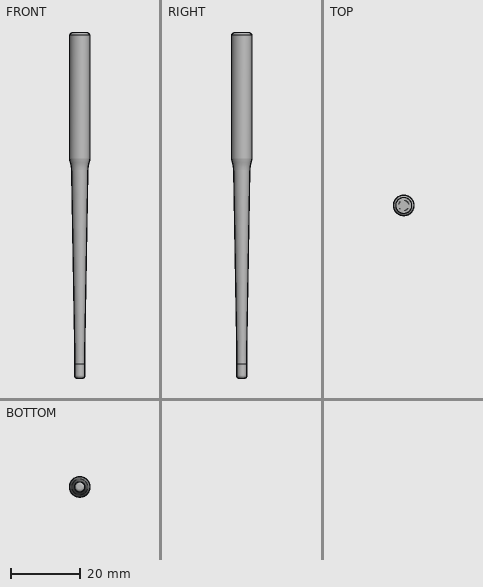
import cadquery as cq
import math

TOTAL_LENGTH = 100.0
CUTTING_LENGTH = 4.2
NECK_BOTTOM = 4.5
CONE_BOTTOM = 6.5
CONE_TOP = 60.2
SHANK_TAPER_BOTTOM = 62.6
SHANK_TAPER_TOP = 63.5

CUTTER_RADIUS = 1.5
CORNER_RADIUS = 0.8
NECK_RADIUS = 1.45
CONE_ANGLE = math.radians(1)
SHANK_RADIUS = 3.0
SHANK_TAPER_BOTTOM_RADIUS = 2.8
TOP_CHAMFER = 0.7

cone_top_radius = NECK_RADIUS + (CONE_TOP - CONE_BOTTOM) * math.tan(CONE_ANGLE)


def make_cutting_head():
    """Cylindrical cutting head with a rounded corner around its flat tip."""
    head = cq.Workplane("XY").circle(CUTTER_RADIUS).extrude(CUTTING_LENGTH)
    return head.faces("<Z").edges().fillet(CORNER_RADIUS)


def make_holder():
    """Neck, long cone, flared transition and chamfered shank, turned about Z."""
    profile = (
        cq.Workplane("XZ")
        .moveTo(0, CUTTING_LENGTH)
        .lineTo(CUTTER_RADIUS, CUTTING_LENGTH)
        .lineTo(NECK_RADIUS, NECK_BOTTOM)
        .lineTo(NECK_RADIUS, CONE_BOTTOM)
        .lineTo(cone_top_radius, CONE_TOP)
        .tangentArcPoint((SHANK_TAPER_BOTTOM_RADIUS, SHANK_TAPER_BOTTOM), relative=False)
        .lineTo(SHANK_RADIUS, SHANK_TAPER_TOP)
        .lineTo(SHANK_RADIUS, TOTAL_LENGTH - TOP_CHAMFER)
        .lineTo(SHANK_RADIUS - TOP_CHAMFER, TOTAL_LENGTH)
        .lineTo(0, TOTAL_LENGTH)
        .close()
    )
    return profile.revolve(360, (0, 0), (0, 1))


cutting_head = make_cutting_head()
holder = make_holder()

result = cq.Compound.makeCompound([cutting_head.val(), holder.val()])